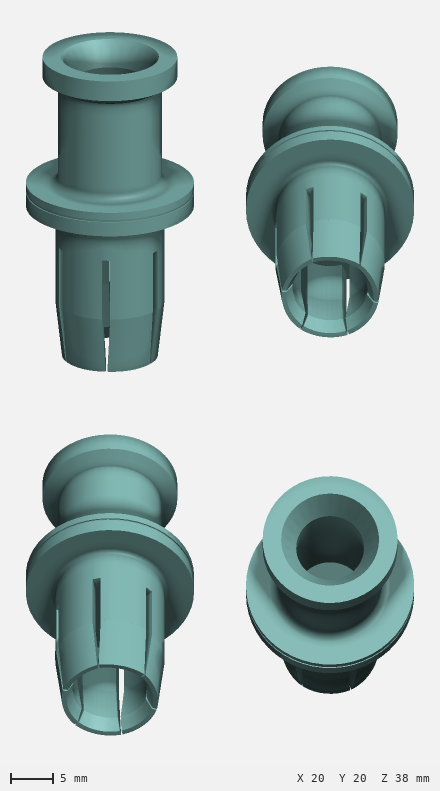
import cadquery as cq
import math

total_height = 38.0
flange_bottom = 19.0
flange_top = 22.0
finger_bend = 7.0
slot_top = 14.5

head_radius = 8.0
head_rim = 2.5
head_cone_angle = 30.0
neck_radius = 6.15
neck_fillet = 1.0

flange_radius = 10.0
groove_bottom = 20.8
groove_width = 0.3
groove_depth = 0.15

shank_radius = 6.5
shank_fillet = 0.5
cavity_radius = 5.0
slot_count = 6
slot_width = 1.0
finger_tilt = 6.5
finger_relief_height = 1.6
finger_relief_depth = 0.9

socket_radius = 4.03
socket_floor = flange_bottom
lead_in_radius = 5.8
lead_in_depth = 2.93

head_cone_height = (head_radius - neck_radius) * math.tan(math.radians(head_cone_angle))
head_bottom = total_height - head_rim
arc_middle = 1 - math.sqrt(0.5)
slot_pitch = 360 / slot_count


def make_upper_body():
    """Revolved head, neck, flange and shank, down to the bend of the fingers."""
    neck_arc = neck_radius + neck_fillet * arc_middle
    shank_arc = shank_radius + shank_fillet * arc_middle
    profile = (
        cq.Workplane("XZ")
        .moveTo(0, finger_bend)
        .lineTo(shank_radius, finger_bend)
        .lineTo(shank_radius, flange_bottom - shank_fillet)
        .threePointArc(
            (shank_arc, flange_bottom - shank_fillet * arc_middle),
            (shank_radius + shank_fillet, flange_bottom),
        )
        .lineTo(flange_radius, flange_bottom)
        .lineTo(flange_radius, groove_bottom)
        .lineTo(flange_radius - groove_depth, groove_bottom)
        .lineTo(flange_radius - groove_depth, groove_bottom + groove_width)
        .lineTo(flange_radius, groove_bottom + groove_width)
        .lineTo(flange_radius, flange_top)
        .lineTo(neck_radius + neck_fillet, flange_top)
        .threePointArc(
            (neck_arc, flange_top + neck_fillet * arc_middle),
            (neck_radius, flange_top + neck_fillet),
        )
        .lineTo(neck_radius, head_bottom - head_cone_height)
        .lineTo(head_radius, head_bottom)
        .lineTo(head_radius, total_height)
        .lineTo(0, total_height)
        .close()
    )
    return profile.revolve(360, (0, 0, 0), (0, 1, 0))


def make_socket():
    """Blind bore in the head with a conical lead-in."""
    profile = (
        cq.Workplane("XZ")
        .moveTo(0, socket_floor)
        .lineTo(socket_radius, socket_floor)
        .lineTo(socket_radius, total_height - lead_in_depth)
        .lineTo(lead_in_radius, total_height)
        .lineTo(0, total_height)
        .close()
    )
    return profile.revolve(360, (0, 0, 0), (0, 1, 0))


def make_slots(bottom, top):
    """Radial slots that split the shank wall into fingers."""
    slots = cq.Workplane("XY")
    for index in range(slot_count):
        slot = (
            cq.Workplane("XY", origin=(0, 0, bottom))
            .rect(2 * shank_radius, slot_width)
            .extrude(top - bottom)
            .translate((shank_radius, 0, 0))
            .rotate((0, 0, 0), (0, 0, 1), (index + 0.5) * slot_pitch)
        )
        slots = slots.add(slot)
    return slots.combine()


def make_finger():
    """One finger centred on +X, bent inward about the outer edge of the bend."""
    finger_length = finger_bend / math.cos(math.radians(finger_tilt))
    tip = finger_bend - finger_length
    overshoot = cavity_radius / 2
    profile = (
        cq.Workplane("XZ")
        .moveTo(cavity_radius + finger_relief_depth, tip)
        .lineTo(shank_radius, tip)
        .lineTo(shank_radius, finger_bend + overshoot)
        .lineTo(cavity_radius, finger_bend + overshoot)
        .lineTo(cavity_radius, tip + finger_relief_height)
        .close()
    )
    ring = profile.revolve(360, (0, 0, 0), (0, 1, 0))
    half_pitch = math.radians(slot_pitch / 2)
    apex = slot_width / 2 / math.sin(half_pitch)
    reach = 2 * shank_radius
    side = (reach - apex) * math.tan(half_pitch)
    wedge = (
        cq.Workplane("XY", origin=(0, 0, tip))
        .polyline([(apex, 0), (reach, -side), (reach, side)])
        .close()
        .extrude(finger_length + overshoot)
    )
    bent = ring.intersect(wedge).rotate(
        (shank_radius, 0, finger_bend), (shank_radius, 1, finger_bend), finger_tilt
    )
    below_bend = cq.Workplane("XY").circle(flange_radius).extrude(finger_bend)
    return bent.intersect(below_bend)


cavity = (
    cq.Workplane("XY", origin=(0, 0, finger_bend))
    .circle(cavity_radius)
    .extrude(slot_top - finger_bend)
)
result = make_upper_body().cut(make_socket()).cut(cavity).cut(make_slots(finger_bend, slot_top))
finger = make_finger()
for index in range(slot_count):
    result = result.union(finger.rotate((0, 0, 0), (0, 0, 1), index * slot_pitch))